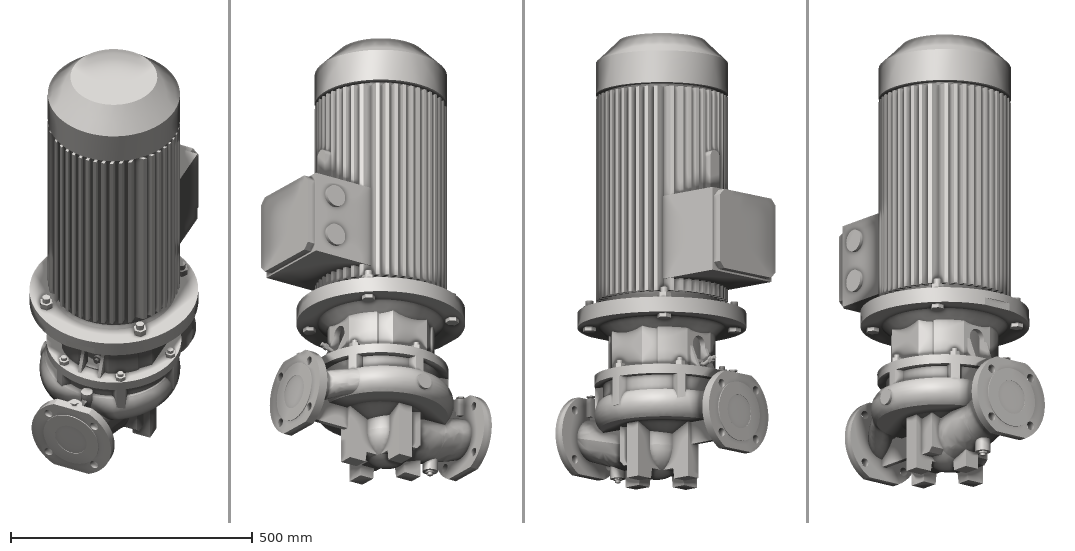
import cadquery as cq
import math


VOLUTE_BOTTOM_Z = 115
VOLUTE_TOP_Z = 173
CASING_FLANGE_BOTTOM_Z = 204
LANTERN_BASE_Z = 223.5
LANTERN_CONE_Z = 302.5
TOP_FLANGE_BOTTOM_Z = 326.5
MOTOR_BASE_Z = 358
FIN_BOTTOM_Z = 380
FIN_TOP_Z = 812
FAN_COVER_BOTTOM_Z = 819
FAN_COVER_CONE_Z = 886
FAN_COVER_TOP_Z = 932
OVERLAP = 5

PORT_Z = 121
FACE_TO_FACE = 440
RAISED_FACE_HEIGHT = 2
RAISED_FACE_RADIUS = 62
PIPE_FLANGE_THICKNESS = 19
PIPE_FLANGE_RADIUS = 90
PIPE_FLANGE_FLAT = 81
PIPE_FLANGE_HOLE_RADIUS = 9
PIPE_FLANGE_PITCH_RADIUS = 73
PORT_RADIUS = 35.5
PORT_RECESS = 1
FLANGE_FACE_Y = FACE_TO_FACE / 2 - RAISED_FACE_HEIGHT
FLANGE_BACK_Y = FLANGE_FACE_Y - PIPE_FLANGE_THICKNESS

PLUG_BOSS_RADIUS = 16
PLUG_HEX_ACROSS = 16
PLUG_HEX_HEIGHT = 3
PLUG_STEM_RADIUS = 5.5
PLUG_STEM_HEIGHT = 8
FLANGE_PLUG_Y = 202
FLANGE_BOSS_DEPTH = 38
DRAIN_Y = -125
DRAIN_BOSS_BOTTOM_Z = 25
DRAIN_BOSS_HEIGHT = 60
VENT_BOSS_Y = -138
VENT_BOSS_RADIUS = 12
VENT_BOSS_TOP_Z = 188

VOLUTE_OFFSET_X = -9
VOLUTE_RADIUS = 146
VOLUTE_EDGE_RADIUS = 134
VOLUTE_MID_Z = (VOLUTE_BOTTOM_Z + VOLUTE_TOP_Z) / 2
VOLUTE_PLUG_RADIUS = 16.5
VOLUTE_PLUG_X = -159
CASING_NECK_RADIUS = 122
CASING_FLANGE_RADIUS = 140
STUD_COUNT = 6
STUD_PITCH_RADIUS = 128
STUD_RADIUS = 6
STUD_HEIGHT = 16
STUD_NUT_ACROSS = 19
STUD_NUT_HEIGHT = 9
POST_OUTER_HALF_WIDTH = 9
POST_INNER_HALF_WIDTH = 15
POST_BOTTOM_Z = VOLUTE_MID_Z
UNDER_CONE_RADIUS = 100
UNDER_CONE_BOTTOM_Z = 95

BOWL_RADIUS = 62
BOWL_Y = -15
BOWL_Z = 71
SUCTION_PIPE_RADIUS = 43.5
SUCTION_PIPE_Z = 116
SUCTION_THROAT_RADIUS = 60
SUCTION_THROAT_Y = -20
DISCHARGE_PIPE_RADIUS = 40
DISCHARGE_THROAT_RADIUS = 28.5
DISCHARGE_THROAT_X = -118
DISCHARGE_THROAT_Y = 20
DISCHARGE_BEND_X = -62
DISCHARGE_BEND_Y = 125
DISCHARGE_BEND_RADIUS = 28

FOOT_REACH = 89
FOOT_LENGTH = 39
FOOT_WIDTH = 32
FOOT_ARCH_Z = 22
FOOT_ARCH_TAPER = 3
FOOT_TOP_Z = VOLUTE_MID_Z
CHEEK_HALF_WIDTH = 74
CHEEK_Y = -49
CHEEK_BOTTOM_Z = 31
CHEEK_CORNER = 10
WEB_THICKNESS = 11
DISCHARGE_WEB_BOTTOM_Z = 69

LANTERN_RADIUS = 111
LANTERN_HALF_WIDTH = 105.5
LANTERN_WALL = 12
LANTERN_CONE_RADIUS = 131
LANTERN_TOP_RADIUS = 175
SIDE_PAD_HALF_WIDTH = 43
SIDE_PAD_SHOULDER_X = 86
SIDE_PAD_SHOULDER_Y = 65
WINDOW_WIDTH = 37
WINDOW_TOP_Z = 296
WINDOW_RIB_THICKNESS = 7
WINDOW_RIB_TOP_Z = 272
WINDOW_RIB_FOOT_Y = 127
HUB_RADIUS = 80
FLOOR_THICKNESS = 3
HUB_TOP_Z = 245
HUB_PLUG_Z = 233
HUB_PLUG_RADIUS = 9
HUB_PLUG_LENGTH = 6
HUB_PLUG_TIP_RADIUS = 5
NOTCH_WIDTH = 65
NOTCH_HEIGHT = 15.5
NOTCH_DEPTH = 3

MOTOR_CORE_RADIUS = 122
MOTOR_FOOT_RADIUS = 129
MOTOR_FOOT_HEIGHT = 6
FIN_REACH = 137
FIN_PITCH = 16.8
FIN_THICKNESS = 6.4
FINS_EACH_SIDE = 5
FAN_COVER_RADIUS = 137
FAN_COVER_TOP_RADIUS = 90
BOX_HALF_WIDTH = 89
BOX_BACK_Y = 227
BOX_BOTTOM_Z = 406
BOX_TOP_Z = 581
LID_HALF_WIDTH = 84
LID_BACK_Y = 244
LID_MARGIN = 4
LID_CORNER = 13
LUG_HALF_WIDTH = 13.5
LUG_BACK_Y = 151
LUG_TOP_Z = 682
GLAND_RADIUS = 23
GLAND_LENGTH = 8
GLAND_Y = 181.5
GLAND_HEIGHTS = (451, 538)

BOLT_PITCH_RADIUS = 150
BOLT_ANGLES = (45, 135, 225, 315)
BOLT_RADIUS = 8
BOLT_HEX_ACROSS = 24
BOLT_HEAD_HEIGHT = 8
BOLT_NUT_HEIGHT = 13
BOLT_TOP_Z = 382.5

VALVE_Y = 110
VALVE_Z = 229.5
VALVE_TILT = 22
VALVE_BODY_RADIUS = 4.5
VALVE_HEX_ACROSS = 12
VALVE_HEX_STARTS = (3, 28)
VALVE_HEX_LENGTH = 8
VALVE_LENGTH = 43
VALVE_ROOT = 3


def cylinder(radius, bottom, top, x=0, y=0):
    """Vertical cylinder between two heights."""
    return cq.Workplane("XY", origin=(x, y, bottom)).circle(radius).extrude(top - bottom)


def hexagon(across_flats, bottom, height, x=0, y=0):
    """Vertical hexagonal prism."""
    corner_diameter = across_flats / math.cos(math.radians(30))
    return cq.Workplane("XY", origin=(x, y, bottom)).polygon(6, corner_diameter).extrude(height)


def block(x_range, y_range, z_range):
    """Box given by its limits on each axis."""
    size = [high - low for low, high in (x_range, y_range, z_range)]
    corner = (x_range[0], y_range[0], z_range[0])
    return cq.Workplane("XY").box(*size, centered=False).translate(corner)


def y_cylinder(radius, y_start, y_end, z, x=0):
    """Cylinder along Y between two places."""
    plane = cq.Plane((x, y_start, z), xDir=(1, 0, 0), normal=(0, 1, 0))
    return cq.Workplane(plane).circle(radius).extrude(y_end - y_start)


def polar(radius, angle):
    """X and Y of a point at a radius and an angle in degrees."""
    return radius * math.cos(math.radians(angle)), radius * math.sin(math.radians(angle))


def pipe_flange(side):
    """Pipe flange with top and bottom flats, raised face, bolt holes and a gauge plug on top."""
    back = side * FLANGE_BACK_Y
    face = side * FLANGE_FACE_Y
    end = side * FACE_TO_FACE / 2
    width = 2 * PIPE_FLANGE_RADIUS
    flats = cq.Workplane("XY").box(width, FACE_TO_FACE, 2 * PIPE_FLANGE_FLAT).translate((0, 0, PORT_Z))
    flange = y_cylinder(PIPE_FLANGE_RADIUS, back, face, PORT_Z).intersect(flats)

    top = PORT_Z + PIPE_FLANGE_FLAT
    plug_y = side * FLANGE_PLUG_Y
    plug_top = top + PLUG_STEM_HEIGHT
    boss = cylinder(PLUG_BOSS_RADIUS, top - FLANGE_BOSS_DEPTH, top, y=plug_y)
    beyond_face = y_cylinder(PIPE_FLANGE_RADIUS, face, face + side * PLUG_BOSS_RADIUS, PORT_Z)
    flange = flange.union(boss.cut(beyond_face))
    flange = flange.union(y_cylinder(RAISED_FACE_RADIUS, face, end, PORT_Z))
    flange = flange.union(hexagon(PLUG_HEX_ACROSS, plug_top - PLUG_HEX_HEIGHT, PLUG_HEX_HEIGHT, y=plug_y))
    flange = flange.union(cylinder(PLUG_STEM_RADIUS, top, plug_top, y=plug_y))

    for angle in BOLT_ANGLES:
        x, dz = polar(PIPE_FLANGE_PITCH_RADIUS, angle)
        flange = flange.cut(y_cylinder(PIPE_FLANGE_HOLE_RADIUS, back, face, PORT_Z + dz, x))
    return flange.cut(y_cylinder(PORT_RADIUS, end - side * PORT_RECESS, end, PORT_Z))


def volute():
    """Round-edged ring chamber, set off-centre from the shaft."""
    ring = (
        cq.Workplane("XZ")
        .moveTo(0, VOLUTE_BOTTOM_Z)
        .lineTo(VOLUTE_EDGE_RADIUS, VOLUTE_BOTTOM_Z)
        .threePointArc((VOLUTE_RADIUS, VOLUTE_MID_Z), (VOLUTE_EDGE_RADIUS, VOLUTE_TOP_Z))
        .lineTo(0, VOLUTE_TOP_Z)
        .close()
        .revolve(360, (0, 0, 0), (0, 1, 0))
        .translate((VOLUTE_OFFSET_X, 0, 0))
    )
    plug = (
        cq.Workplane("YZ", origin=(VOLUTE_PLUG_X, 0, VOLUTE_MID_Z))
        .circle(VOLUTE_PLUG_RADIUS)
        .extrude(VOLUTE_RADIUS / 2)
    )
    return ring.union(plug)


def casing_neck():
    """Neck with a post below each stud, carrying the flange under the lantern."""
    neck = cylinder(CASING_NECK_RADIUS, VOLUTE_MID_Z, CASING_FLANGE_BOTTOM_Z)
    rim = cylinder(CASING_FLANGE_RADIUS, POST_BOTTOM_Z, CASING_FLANGE_BOTTOM_Z)
    outline = [
        (0, -POST_INNER_HALF_WIDTH),
        (CASING_NECK_RADIUS, -POST_INNER_HALF_WIDTH),
        (CASING_FLANGE_RADIUS, -POST_OUTER_HALF_WIDTH),
        (CASING_FLANGE_RADIUS, POST_OUTER_HALF_WIDTH),
        (CASING_NECK_RADIUS, POST_INNER_HALF_WIDTH),
        (0, POST_INNER_HALF_WIDTH),
    ]
    base = cq.Workplane("XY", origin=(0, 0, POST_BOTTOM_Z))
    post = base.polyline(outline).close().extrude(CASING_FLANGE_BOTTOM_Z - POST_BOTTOM_Z)
    for index in range(STUD_COUNT):
        turned = post.rotate((0, 0, 0), (0, 0, 1), index * 360 / STUD_COUNT)
        neck = neck.union(turned.intersect(rim))
    return neck.union(cylinder(CASING_FLANGE_RADIUS, CASING_FLANGE_BOTTOM_Z, LANTERN_BASE_Z))


def suction_side():
    """Bowl under the volute and the pipe that widens into it from the suction flange."""
    bowl = cq.Workplane("XY", origin=(0, BOWL_Y, BOWL_Z)).sphere(BOWL_RADIUS)
    bowl = bowl.union(cylinder(BOWL_RADIUS, BOWL_Z, VOLUTE_MID_Z, y=BOWL_Y))
    under_cone = (
        cq.Workplane("XY", origin=(0, 0, UNDER_CONE_BOTTOM_Z))
        .circle(BOWL_RADIUS + BOWL_Y)
        .workplane(offset=VOLUTE_BOTTOM_Z + OVERLAP - UNDER_CONE_BOTTOM_Z)
        .circle(UNDER_CONE_RADIUS)
        .loft()
    )
    pipe = (
        cq.Workplane("XZ", origin=(0, SUCTION_THROAT_Y, 0))
        .center(0, BOWL_Z)
        .circle(SUCTION_THROAT_RADIUS)
        .workplane(offset=FLANGE_BACK_Y + OVERLAP + SUCTION_THROAT_Y)
        .center(0, SUCTION_PIPE_Z - BOWL_Z)
        .circle(SUCTION_PIPE_RADIUS)
        .loft()
    )
    return bowl.union(under_cone).union(pipe)


def discharge_pipe():
    """Pipe that leaves the volute on the -X side and widens towards the discharge flange."""
    end = FLANGE_BACK_Y + OVERLAP
    return (
        cq.Workplane("XZ", origin=(DISCHARGE_THROAT_X, DISCHARGE_THROAT_Y, VOLUTE_MID_Z))
        .circle(DISCHARGE_THROAT_RADIUS)
        .workplane(offset=DISCHARGE_THROAT_Y - DISCHARGE_BEND_Y)
        .center(DISCHARGE_BEND_X - DISCHARGE_THROAT_X, 0)
        .circle(DISCHARGE_BEND_RADIUS)
        .workplane(offset=DISCHARGE_BEND_Y - end)
        .center(-DISCHARGE_BEND_X, PORT_Z - VOLUTE_MID_Z)
        .circle(DISCHARGE_PIPE_RADIUS)
        .loft()
    )


def foot_plate():
    """Plate along X with a foot at each end and an arch between the feet."""
    inner = FOOT_REACH - FOOT_LENGTH
    crown = inner - FOOT_ARCH_TAPER
    outline = [
        (-FOOT_REACH, 0),
        (-inner, 0),
        (-crown, FOOT_ARCH_Z),
        (crown, FOOT_ARCH_Z),
        (inner, 0),
        (FOOT_REACH, 0),
        (FOOT_REACH, FOOT_TOP_Z),
        (-FOOT_REACH, FOOT_TOP_Z),
    ]
    return cq.Workplane("XZ").polyline(outline).close().extrude(FOOT_WIDTH / 2, both=True)


def feet():
    """Crossed foot plates standing under the volute, with a cheek block on the suction side."""
    plate = foot_plate()
    crossed = plate.union(plate.rotate((0, 0, 0), (0, 0, 1), 90))
    cheek = (
        block((-CHEEK_HALF_WIDTH, CHEEK_HALF_WIDTH), (CHEEK_Y, 0), (CHEEK_BOTTOM_Z, VOLUTE_MID_Z))
        .edges("|X and <Y and <Z")
        .chamfer(CHEEK_CORNER)
    )
    return crossed.union(cheek)


def webs():
    """Thin webs on the centre plane that stiffen the two pipes."""
    half = WEB_THICKNESS / 2
    end = FLANGE_BACK_Y + OVERLAP
    below_discharge = block((-half, half), (0, end), (DISCHARGE_WEB_BOTTOM_Z, PORT_Z))
    above_suction = block((-half, half), (-end, -CASING_NECK_RADIUS), (PORT_Z, VOLUTE_TOP_Z))
    return below_discharge.union(above_suction)


def casing_bosses():
    """Drain boss with its plug below the suction pipe, and a vent boss above it."""
    top = DRAIN_BOSS_BOTTOM_Z + DRAIN_BOSS_HEIGHT
    drain = cylinder(PLUG_BOSS_RADIUS, DRAIN_BOSS_BOTTOM_Z, top, y=DRAIN_Y)
    hex_bottom = DRAIN_BOSS_BOTTOM_Z - PLUG_HEX_HEIGHT
    drain = drain.union(hexagon(PLUG_HEX_ACROSS, hex_bottom, PLUG_HEX_HEIGHT, y=DRAIN_Y))
    stem_bottom = DRAIN_BOSS_BOTTOM_Z - PLUG_STEM_HEIGHT
    drain = drain.union(cylinder(PLUG_STEM_RADIUS, stem_bottom, DRAIN_BOSS_BOTTOM_Z, y=DRAIN_Y))
    return drain.union(cylinder(VENT_BOSS_RADIUS, PORT_Z, VENT_BOSS_TOP_Z, y=VENT_BOSS_Y))


def studs():
    """Studs with nuts standing on the bottom flange."""
    group = cq.Workplane("XY")
    for index in range(STUD_COUNT):
        x, y = polar(STUD_PITCH_RADIUS, index * 360 / STUD_COUNT)
        top = LANTERN_BASE_Z + STUD_HEIGHT
        group = group.union(cylinder(STUD_RADIUS, CASING_FLANGE_BOTTOM_Z, top, x, y))
        group = group.union(hexagon(STUD_NUT_ACROSS, LANTERN_BASE_Z, STUD_NUT_HEIGHT, x, y))
    return group


casing = volute()
casing_sections = (
    casing_neck(),
    suction_side(),
    discharge_pipe(),
    feet(),
    webs(),
    casing_bosses(),
    studs(),
)
for section in casing_sections:
    casing = casing.union(section)
for flange_side in (-1, 1):
    casing = casing.union(pipe_flange(flange_side))


def lantern_shell():
    """Turned cone and top flange on a wall that has flats on its four sides."""
    outline = [
        (0, LANTERN_BASE_Z),
        (LANTERN_HALF_WIDTH, LANTERN_BASE_Z),
        (LANTERN_HALF_WIDTH, LANTERN_CONE_Z),
        (LANTERN_CONE_RADIUS, TOP_FLANGE_BOTTOM_Z),
        (LANTERN_TOP_RADIUS, TOP_FLANGE_BOTTOM_Z),
        (LANTERN_TOP_RADIUS, MOTOR_BASE_Z),
        (0, MOTOR_BASE_Z),
    ]
    turned = cq.Workplane("XZ").polyline(outline).close().revolve(360, (0, 0, 0), (0, 1, 0))
    round_wall = cylinder(LANTERN_RADIUS, LANTERN_BASE_Z, TOP_FLANGE_BOTTOM_Z)
    flats = block(
        (-SIDE_PAD_SHOULDER_X, SIDE_PAD_SHOULDER_X),
        (-LANTERN_HALF_WIDTH, LANTERN_HALF_WIDTH),
        (LANTERN_BASE_Z, TOP_FLANGE_BOTTOM_Z),
    )
    return turned.union(round_wall.intersect(flats))


def side_pads():
    """Flat-faced pads with sloped shoulders on the two X sides."""
    pads = []
    for side in (-1, 1):
        outline = [
            (0, -SIDE_PAD_SHOULDER_Y),
            (side * SIDE_PAD_SHOULDER_X, -SIDE_PAD_SHOULDER_Y),
            (side * LANTERN_HALF_WIDTH, -SIDE_PAD_HALF_WIDTH),
            (side * LANTERN_HALF_WIDTH, SIDE_PAD_HALF_WIDTH),
            (side * SIDE_PAD_SHOULDER_X, SIDE_PAD_SHOULDER_Y),
            (0, SIDE_PAD_SHOULDER_Y),
        ]
        height = TOP_FLANGE_BOTTOM_Z - LANTERN_BASE_Z
        pad = cq.Workplane("XY", origin=(0, 0, LANTERN_BASE_Z)).polyline(outline).close()
        pads.append(pad.extrude(height))
    return pads[0].union(pads[1])


def window_ribs():
    """Triangular ribs beside the windows, from the wall down to the casing flange."""
    outline = [
        (0, LANTERN_BASE_Z),
        (WINDOW_RIB_FOOT_Y, LANTERN_BASE_Z),
        (LANTERN_HALF_WIDTH, WINDOW_RIB_TOP_Z),
        (0, WINDOW_RIB_TOP_Z),
    ]
    rib = (
        cq.Workplane("YZ", origin=(WINDOW_WIDTH / 2, 0, 0))
        .polyline(outline)
        .close()
        .extrude(WINDOW_RIB_THICKNESS)
    )
    ribs = rib.union(rib.mirror("YZ"))
    return ribs.union(ribs.mirror("XZ"))


def windows():
    """Round-topped opening through both Y sides."""
    radius = WINDOW_WIDTH / 2
    return (
        cq.Workplane("XZ")
        .moveTo(-radius, LANTERN_BASE_Z)
        .lineTo(radius, LANTERN_BASE_Z)
        .lineTo(radius, WINDOW_TOP_Z - radius)
        .threePointArc((0, WINDOW_TOP_Z), (-radius, WINDOW_TOP_Z - radius))
        .close()
        .extrude(CASING_FLANGE_RADIUS, both=True)
    )


def hub():
    """Seal hub on the lantern floor with a plug facing the -Y window and a valve seat in the +Y one."""
    body = cylinder(HUB_RADIUS, LANTERN_BASE_Z, HUB_TOP_Z)
    valve_seat = block(
        (-WINDOW_WIDTH / 2, WINDOW_WIDTH / 2),
        (0, VALVE_Y),
        (LANTERN_BASE_Z, HUB_TOP_Z),
    )
    body = body.union(valve_seat)
    body = body.union(cylinder(LANTERN_HALF_WIDTH, LANTERN_BASE_Z, LANTERN_BASE_Z + FLOOR_THICKNESS))
    plug_face = -HUB_RADIUS - HUB_PLUG_LENGTH
    body = body.union(y_cylinder(HUB_PLUG_RADIUS, plug_face, 0, HUB_PLUG_Z))
    return body.union(y_cylinder(HUB_PLUG_TIP_RADIUS, plug_face - HUB_PLUG_LENGTH, 0, HUB_PLUG_Z))


def rim_notch():
    """Shallow notch in the lower half of the top flange rim on the -Y side."""
    return block(
        (-NOTCH_WIDTH / 2, NOTCH_WIDTH / 2),
        (-LANTERN_TOP_RADIUS, NOTCH_DEPTH - LANTERN_TOP_RADIUS),
        (TOP_FLANGE_BOTTOM_Z, TOP_FLANGE_BOTTOM_Z + NOTCH_HEIGHT),
    )


def bolt_hole(angle, bottom, top):
    """Clearance for one motor bolt shank."""
    x, y = polar(BOLT_PITCH_RADIUS, angle)
    return cylinder(BOLT_RADIUS, bottom, top, x, y)


VALVE_PLANE = cq.Plane(
    (0, VALVE_Y, VALVE_Z),
    xDir=(1, 0, 0),
    normal=(0, math.cos(math.radians(VALVE_TILT)), math.sin(math.radians(VALVE_TILT))),
)


def vent_valve():
    """Tilted valve: a round stem with one hexagon near its root and one near its tip."""
    axis = cq.Workplane(VALVE_PLANE)
    body = axis.workplane(offset=-VALVE_ROOT).circle(VALVE_BODY_RADIUS).extrude(VALVE_ROOT + VALVE_LENGTH)
    corner_diameter = VALVE_HEX_ACROSS / math.cos(math.radians(30))
    for start in VALVE_HEX_STARTS:
        collar = axis.workplane(offset=start).polygon(6, corner_diameter).extrude(VALVE_HEX_LENGTH)
        body = body.union(collar)
    return body


valve = vent_valve()


lantern = lantern_shell()
for section in (side_pads(), window_ribs()):
    lantern = lantern.union(section)
bore = cylinder(LANTERN_HALF_WIDTH - LANTERN_WALL, LANTERN_BASE_Z, MOTOR_BASE_Z)
lantern = lantern.cut(bore).cut(windows()).union(hub()).cut(rim_notch())
for bolt_angle in BOLT_ANGLES:
    lantern = lantern.cut(bolt_hole(bolt_angle, TOP_FLANGE_BOTTOM_Z, MOTOR_BASE_Z))
lantern = lantern.cut(valve)


def motor_body():
    """Turned core with a sloped foot ring and the fan cover."""
    outline = [
        (0, MOTOR_BASE_Z),
        (MOTOR_FOOT_RADIUS, MOTOR_BASE_Z),
        (MOTOR_CORE_RADIUS, MOTOR_BASE_Z + MOTOR_FOOT_HEIGHT),
        (MOTOR_CORE_RADIUS, FAN_COVER_BOTTOM_Z),
        (FAN_COVER_RADIUS, FAN_COVER_BOTTOM_Z),
        (FAN_COVER_RADIUS, FAN_COVER_CONE_Z),
        (FAN_COVER_TOP_RADIUS, FAN_COVER_TOP_Z),
        (0, FAN_COVER_TOP_Z),
    ]
    return cq.Workplane("XZ").polyline(outline).close().revolve(360, (0, 0, 0), (0, 1, 0))


def cooling_fins():
    """Parallel fins on all four sides, trimmed to a round envelope."""
    places = [index * FIN_PITCH for index in range(-FINS_EACH_SIDE, FINS_EACH_SIDE + 1)]
    height = FIN_TOP_Z - FIN_BOTTOM_Z
    base = cq.Workplane("XY", origin=(0, 0, FIN_BOTTOM_Z))
    along_y = base.pushPoints([(x, 0) for x in places]).rect(FIN_THICKNESS, 2 * FIN_REACH).extrude(height)
    along_x = base.pushPoints([(0, y) for y in places]).rect(2 * FIN_REACH, FIN_THICKNESS).extrude(height)
    return along_y.union(along_x).intersect(cylinder(FIN_REACH, FIN_BOTTOM_Z, FIN_TOP_Z))


def terminal_box():
    """Box on the +Y side with a lid whose corners are bevelled, and two cable glands."""
    front = FINS_EACH_SIDE * FIN_PITCH
    box = block((-BOX_HALF_WIDTH, BOX_HALF_WIDTH), (front, BOX_BACK_Y), (BOX_BOTTOM_Z, BOX_TOP_Z))
    lid_heights = (BOX_BOTTOM_Z + LID_MARGIN, BOX_TOP_Z - LID_MARGIN)
    lid = block((-LID_HALF_WIDTH, LID_HALF_WIDTH), (BOX_BACK_Y, LID_BACK_Y), lid_heights)
    box = box.union(lid.edges("|Y").chamfer(LID_CORNER))
    for height in GLAND_HEIGHTS:
        gland = cq.Workplane("YZ", origin=(-BOX_HALF_WIDTH, GLAND_Y, height))
        box = box.union(gland.circle(GLAND_RADIUS).extrude(-GLAND_LENGTH))
    return box


def back_lug():
    """Round-topped lug standing above the terminal box."""
    arch_z = LUG_TOP_Z - LUG_HALF_WIDTH
    lug = block((-LUG_HALF_WIDTH, LUG_HALF_WIDTH), (0, LUG_BACK_Y), (BOX_TOP_Z - OVERLAP, arch_z))
    return lug.union(y_cylinder(LUG_HALF_WIDTH, 0, LUG_BACK_Y, arch_z))


motor = motor_body().union(cooling_fins()).union(terminal_box()).union(back_lug())


def motor_bolt(angle):
    """Bolt with its head under the lantern top flange and its nut on top of it."""
    x, y = polar(BOLT_PITCH_RADIUS, angle)
    head_bottom = TOP_FLANGE_BOTTOM_Z - BOLT_HEAD_HEIGHT
    bolt = cylinder(BOLT_RADIUS, head_bottom, BOLT_TOP_Z, x, y)
    bolt = bolt.union(hexagon(BOLT_HEX_ACROSS, head_bottom, BOLT_HEAD_HEIGHT, x, y))
    return bolt.union(hexagon(BOLT_HEX_ACROSS, MOTOR_BASE_Z, BOLT_NUT_HEIGHT, x, y))


bolts = [motor_bolt(bolt_angle) for bolt_angle in BOLT_ANGLES]

result = cq.Compound.makeCompound(
    [casing.val(), lantern.val(), motor.val(), valve.val(), *[bolt.val() for bolt in bolts]]
)